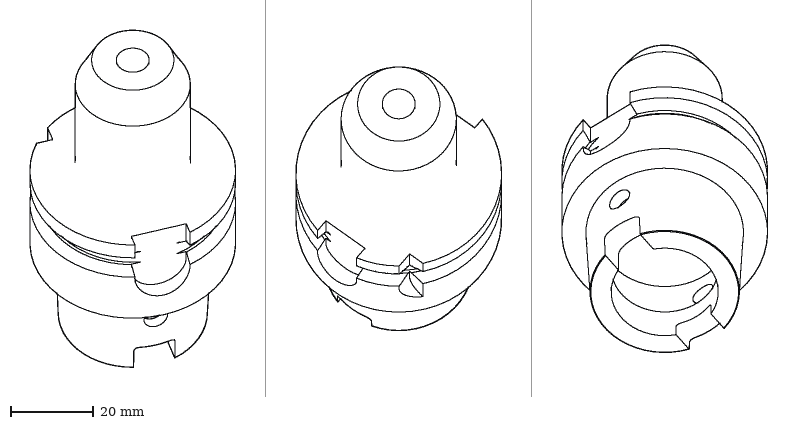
import cadquery as cq
import math


flange_radius = 25.0
flange_height = 26.0
groove_centre_z = 18.0
groove_root_radius = 21.5
groove_shoulder_radius = 22.3
groove_root_width = 3.75
groove_flank_angle = 30.0

holder_top_z = 65.0
body_radius = 14.0
body_fillet = 3.0
nose_radius = 10.0
nose_height = 8.5
tool_bore_diameter = 8.0
tool_bore_depth = 36.0

shank_length = 25.0
shank_top_radius = 19.15
shank_bottom_radius = 18.15
shank_end_chamfer = 0.2
shank_mouth_radius = 13.0
shank_chamber_radius = 16.0
shank_chamber_depth = 15.0
cross_hole_diameter = 6.0
cross_hole_z = -7.5

drive_slot_width = 10.5
drive_slot_corner_radius = 1.25
left_drive_slot_height = 4.5
right_drive_slot_height = 7.5

keyway_floor_x = 21.0
keyway_bottom_z = 7.0
left_keyway_width = 12.0
right_keyway_width = 14.0

notch_wall_x = -15.5
notch_wall_y = -15.5
notch_end_radius = 6.0
notch_end_centre_z = 13.0


def turned_body():
    """Revolve the shank, grooved flange, body and nose as one solid of revolution."""
    root_half_width = groove_root_width / 2
    flank_rise = (flange_radius - groove_shoulder_radius) * math.tan(math.radians(groove_flank_angle))
    mouth_half_width = root_half_width + flank_rise
    fillet_middle = body_fillet * (1 - math.cos(math.radians(45)))
    profile = (
        cq.Workplane("XZ")
        .moveTo(0, -shank_length)
        .lineTo(shank_bottom_radius - shank_end_chamfer, -shank_length)
        .lineTo(shank_bottom_radius, -shank_length + shank_end_chamfer)
        .lineTo(shank_top_radius, 0)
        .lineTo(flange_radius, 0)
        .lineTo(flange_radius, groove_centre_z - mouth_half_width)
        .lineTo(groove_shoulder_radius, groove_centre_z - root_half_width)
        .lineTo(groove_root_radius, groove_centre_z - root_half_width)
        .lineTo(groove_root_radius, groove_centre_z + root_half_width)
        .lineTo(groove_shoulder_radius, groove_centre_z + root_half_width)
        .lineTo(flange_radius, groove_centre_z + mouth_half_width)
        .lineTo(flange_radius, flange_height)
        .lineTo(body_radius + body_fillet, flange_height)
        .threePointArc(
            (body_radius + fillet_middle, flange_height + fillet_middle),
            (body_radius, flange_height + body_fillet),
        )
        .lineTo(body_radius, holder_top_z - nose_height)
        .lineTo(nose_radius, holder_top_z)
        .lineTo(0, holder_top_z)
        .close()
    )
    return profile.revolve(360, (0, 0, 0), (0, 1, 0))


def tool_bore():
    """Blind bore for the tool, from the nose face down."""
    return (
        cq.Workplane("XY", origin=(0, 0, holder_top_z))
        .circle(tool_bore_diameter / 2)
        .extrude(-tool_bore_depth)
    )


def shank_bore():
    """Cavity of the hollow shank: a narrow mouth opening into a wider chamber."""
    mouth = cq.Workplane("XY").circle(shank_mouth_radius).extrude(-shank_length)
    chamber = cq.Workplane("XY").circle(shank_chamber_radius).extrude(-shank_chamber_depth)
    return mouth.union(chamber)


def cross_hole():
    """Radial hole along X through both walls of the shank."""
    return (
        cq.Workplane("YZ")
        .center(0, cross_hole_z)
        .circle(cross_hole_diameter / 2)
        .extrude(flange_radius, both=True)
    )


def drive_slot(side, height):
    """Slot through one shank wall, open at the end face; side is -1 or +1 along X."""
    return (
        cq.Workplane("YZ")
        .center(0, -shank_length)
        .rect(drive_slot_width, 2 * height)
        .extrude(side * flange_radius)
        .edges("|X")
        .fillet(drive_slot_corner_radius)
    )


def keyway(side, width):
    """Flat-floored keyway with a round lower end; side is -1 or +1 along X."""
    end_radius = width / 2
    end_centre_z = keyway_bottom_z + end_radius
    return (
        cq.Workplane("YZ", origin=(side * keyway_floor_x, 0, 0))
        .moveTo(-end_radius, flange_height)
        .lineTo(-end_radius, end_centre_z)
        .threePointArc((0, keyway_bottom_z), (end_radius, end_centre_z))
        .lineTo(end_radius, flange_height)
        .close()
        .extrude(side * flange_radius)
    )


def orientation_notch():
    """Corner notch with a rounded lower end, cut into the rim towards -X and -Y."""
    far_wall_y = notch_wall_y - 2 * notch_end_radius
    end_centre_y = notch_wall_y - notch_end_radius
    return (
        cq.Workplane("YZ", origin=(notch_wall_x, 0, 0))
        .moveTo(notch_wall_y, flange_height)
        .lineTo(notch_wall_y, notch_end_centre_z)
        .threePointArc(
            (end_centre_y, notch_end_centre_z - notch_end_radius),
            (far_wall_y, notch_end_centre_z),
        )
        .lineTo(far_wall_y, flange_height)
        .close()
        .extrude(-flange_radius)
    )


result = (
    turned_body()
    .cut(tool_bore())
    .cut(shank_bore())
    .cut(cross_hole())
    .cut(drive_slot(-1, left_drive_slot_height))
    .cut(drive_slot(1, right_drive_slot_height))
    .cut(keyway(-1, left_keyway_width))
    .cut(keyway(1, right_keyway_width))
    .cut(orientation_notch())
)